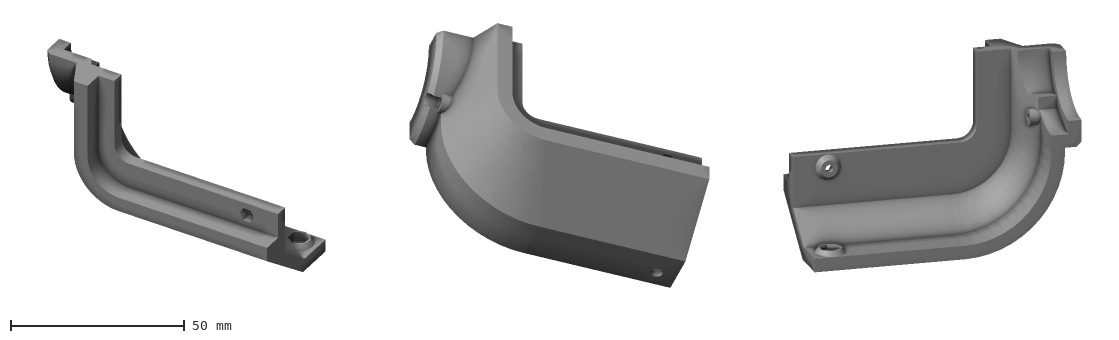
import cadquery as cq
import math

LENGTH = 80.0
DEPTH = 32.5
HEIGHT = 55.0

SHELL_BACK = (5.0, 0.0, 30.0)
SHELL_FRONT = (15.0, 15.2, 15.0)
CAVITY_BACK = (9.0, 4.1, 25.9)
CAVITY_FRONT = (14.7, 12.6, 17.4)
LIP_OPENING = (19.6, 19.8, 10.3)
WEB_OPENING = (24.9, 28.1, 5.0)

SHELL_BEND_Y = 19.9
CAVITY_BEND_Y = 21.0
LIP_DEPTH = 6.1
WEB_BACK_Y = 10.1

COLLAR_RADIUS = 24.0
COLLAR_BORE = 16.0
COLLAR_RECESS = 20.0
COLLAR_CHAMFER = 1.5
COLLAR_LIP = 3.9
COLLAR_LENGTH = 12.0
RECESS_END = 14.4

SCREW_Y = 18.6
SCREW_Z = 36.7
SCREW_BOSS_RADIUS = 3.0
SCREW_BOSS_START = 4.0
SCREW_BOSS_END = 12.0
SCREW_TIP_RADIUS = 2.4
SCREW_HEAD_RADIUS = 1.9
SCREW_HOLE_RADIUS = 1.08
PAD_WIDTH = 3.8
PAD_FRONT_Y = DEPTH - COLLAR_BORE

WEB_NUT_X = 69.5
WEB_NUT_Z = 24.0
WEB_NUT_CORNERS = 4.8
WEB_NUT_DEPTH = 3.2
WEB_HOLE_RADIUS = 1.1
WEB_BOSS_BASE = 3.8
WEB_BOSS_TOP = 2.6
WEB_BOSS_HEIGHT = 1.4

FLOOR_NUT_X = 74.0
FLOOR_NUT_Y = 27.5
FLOOR_NUT_FLATS = 5.6
FLOOR_NUT_CORNERS = FLOOR_NUT_FLATS / math.cos(math.pi / 6)
FLOOR_NUT_DEPTH = 3.2
FLOOR_HOLE_RADIUS = 1.8
FLOOR_BOSS_BASE = 4.6
FLOOR_BOSS_TOP = 3.4
FLOOR_BOSS_HEIGHT = 1.4

X_AXIS = cq.Vector(1, 0, 0)
Y_AXIS = cq.Vector(0, 1, 0)
Z_AXIS = cq.Vector(0, 0, 1)


def elbow_wire(outline, y):
    """Closed XZ outline with a rounded lower left corner, open to the part's top and right limits."""
    left, bottom, radius = outline
    reach = radius * math.sqrt(0.5)
    center_x = left + radius
    center_z = bottom + radius
    sketch = (
        cq.Workplane("XZ", origin=(0, y, 0))
        .moveTo(left, HEIGHT)
        .lineTo(left, center_z)
        .threePointArc((center_x - reach, center_z - reach), (center_x, bottom))
        .lineTo(LENGTH, bottom)
        .lineTo(LENGTH, HEIGHT)
        .close()
    )
    return sketch.wire().val()


def elbow_prism(outline, y_start, y_end):
    solid = cq.Solid.extrudeLinear(elbow_wire(outline, y_start), [], Y_AXIS * (y_end - y_start))
    return cq.Workplane(obj=solid)


def elbow_loft(front, y_front, back, y_back):
    return cq.Workplane(obj=cq.Solid.makeLoft([elbow_wire(front, y_front), elbow_wire(back, y_back)], True))


def rod(radius, start, length, axis):
    return cq.Workplane(obj=cq.Solid.makeCylinder(radius, length, start, axis))


def cone(base_radius, top_radius, start, height, axis):
    return cq.Workplane(obj=cq.Solid.makeCone(base_radius, top_radius, height, start, axis))


def collar_rod(radius, x_start, x_end):
    """Lower front quarter of a cylinder on the collar axis."""
    cylinder = rod(radius, cq.Vector(x_start, DEPTH, HEIGHT), x_end - x_start, X_AXIS)
    quarter = cq.Workplane().box(LENGTH, DEPTH, HEIGHT, centered=False)
    return cylinder.intersect(quarter)


shell = elbow_prism(SHELL_BACK, SHELL_BEND_Y, DEPTH)
shell = shell.union(elbow_loft(SHELL_FRONT, 0, SHELL_BACK, SHELL_BEND_Y))
collar = collar_rod(COLLAR_RADIUS, COLLAR_CHAMFER, COLLAR_LENGTH)
collar_nose = cone(
    COLLAR_RADIUS - COLLAR_CHAMFER, COLLAR_RADIUS, cq.Vector(0, DEPTH, HEIGHT), COLLAR_CHAMFER, X_AXIS
)
collar_nose = collar_nose.intersect(cq.Workplane().box(LENGTH, DEPTH, HEIGHT, centered=False))
screw_pad = rod(
    SCREW_BOSS_RADIUS, cq.Vector(SCREW_BOSS_START, SCREW_Y, SCREW_Z), COLLAR_LENGTH - SCREW_BOSS_START, X_AXIS
)
body = shell.union(collar).union(collar_nose).union(screw_pad)

body = body.cut(collar_rod(COLLAR_BORE, 0, COLLAR_LENGTH))
recess = collar_rod(COLLAR_RECESS, COLLAR_LIP, RECESS_END)
pad_top = HEIGHT - math.sqrt(COLLAR_RECESS**2 - COLLAR_BORE**2)
pad = cq.Workplane().box(RECESS_END, PAD_WIDTH, pad_top, centered=False).translate((0, PAD_FRONT_Y, 0))
body = body.cut(recess.cut(pad))

body = body.cut(elbow_prism(CAVITY_BACK, CAVITY_BEND_Y, DEPTH))
body = body.cut(elbow_loft(CAVITY_FRONT, WEB_BACK_Y, CAVITY_BACK, CAVITY_BEND_Y))
body = body.cut(elbow_prism(LIP_OPENING, 0, LIP_DEPTH))
body = body.cut(elbow_prism(WEB_OPENING, LIP_DEPTH, WEB_BACK_Y))


def add_collar_screw(part):
    """Round boss reaching into the cavity, with a sunken countersunk screw hole."""
    boss_start = cq.Vector(SCREW_BOSS_START, SCREW_Y, SCREW_Z)
    head_start = cq.Vector(0, SCREW_Y, SCREW_Z)
    sink_depth = SCREW_HEAD_RADIUS - SCREW_HOLE_RADIUS
    part = part.union(rod(SCREW_TIP_RADIUS, boss_start, SCREW_BOSS_END - SCREW_BOSS_START, X_AXIS))
    part = part.cut(rod(SCREW_HEAD_RADIUS, head_start, SCREW_BOSS_START, X_AXIS))
    part = part.cut(cone(SCREW_HEAD_RADIUS, SCREW_HOLE_RADIUS, boss_start, sink_depth, X_AXIS))
    return part.cut(rod(SCREW_HOLE_RADIUS, head_start, SCREW_BOSS_END, X_AXIS))


def add_web_nut_seat(part):
    """Hexagonal pocket in the front of the web, backed by a conical boss."""
    boss_start = cq.Vector(WEB_NUT_X, WEB_BACK_Y, WEB_NUT_Z)
    hole_start = cq.Vector(WEB_NUT_X, LIP_DEPTH, WEB_NUT_Z)
    hole_length = WEB_BACK_Y + WEB_BOSS_HEIGHT - LIP_DEPTH
    pocket = (
        cq.Workplane("XZ", origin=hole_start.toTuple())
        .polygon(6, WEB_NUT_CORNERS)
        .extrude(-WEB_NUT_DEPTH)
    )
    part = part.union(cone(WEB_BOSS_BASE, WEB_BOSS_TOP, boss_start, WEB_BOSS_HEIGHT, Y_AXIS))
    return part.cut(pocket).cut(rod(WEB_HOLE_RADIUS, hole_start, hole_length, Y_AXIS))


def add_floor_nut_seat(part):
    """Conical boss on the cavity floor with a hexagonal pocket and a through hole."""
    floor_z = CAVITY_BACK[1]
    boss_top = floor_z + FLOOR_BOSS_HEIGHT
    boss_start = cq.Vector(FLOOR_NUT_X, FLOOR_NUT_Y, floor_z)
    hole_start = cq.Vector(FLOOR_NUT_X, FLOOR_NUT_Y, 0)
    pocket = (
        cq.Workplane("XY", origin=(FLOOR_NUT_X, FLOOR_NUT_Y, boss_top))
        .transformed(rotate=(0, 0, 30))
        .polygon(6, FLOOR_NUT_CORNERS)
        .extrude(-FLOOR_NUT_DEPTH)
    )
    part = part.union(cone(FLOOR_BOSS_BASE, FLOOR_BOSS_TOP, boss_start, FLOOR_BOSS_HEIGHT, Z_AXIS))
    return part.cut(pocket).cut(rod(FLOOR_HOLE_RADIUS, hole_start, boss_top, Z_AXIS))


body = add_collar_screw(body)
body = add_web_nut_seat(body)
result = add_floor_nut_seat(body)